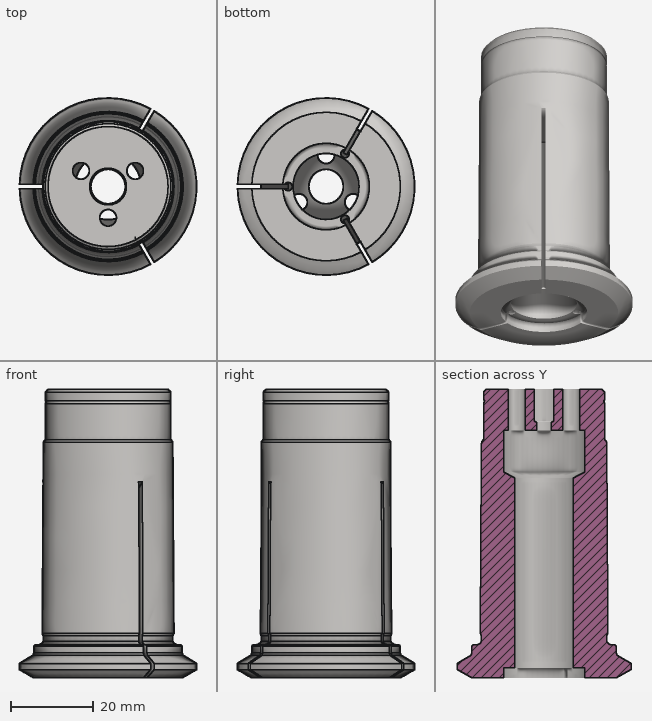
import cadquery as cq
import math

LENGTH = 70.0
RIM_LOW = 2.02
RIM_HIGH = 3.45
COLLAR_LOW = 6.1
COLLAR_TOP = 8.05
NECK_TOP = 10.25
BODY_LOW = 10.85
BODY_TOP = 57.15
SHOULDER_TOP = 57.8
GROOVE_LOW = 66.5
GROOVE_TOP = 67.2

FLANGE_DIA = 43.0
COLLAR_DIA = 36.0
NECK_DIA = 31.5
BODY_LOW_DIA = 32.0
BODY_TOP_DIA = 31.44
HEAD_DIA = 30.5

FLANGE_CONE_ANGLE = 30.0
RIM_BEVEL = 0.2
COLLAR_FOOT = 0.6
COLLAR_FOOT_RUN = 0.2
COLLAR_CHAMFER = 0.35
NECK_FILLET_RUN = 1.2
NECK_FILLET_RISE = 0.8
GROOVE_DEPTH = 0.25
HEAD_CHAMFER = 0.7

MOUTH_DIA = 21.0
MOUTH_DEPTH = 2.35
CLAMP_DIA = 16.0
CLAMP_DEPTH = 48.5
CHAMBER_DIA = 21.0
CHAMBER_CONE_ANGLE = 30.0
END_WALL = 10.0
CENTRE_DIA = 8.92
CENTRE_LOW_DIA = 8.3
CENTRE_LOW_LENGTH = 2.0

COOLANT_COUNT = 3
COOLANT_DIA = 4.0
COOLANT_CIRCLE_DIA = 15.2
COOLANT_FIRST_ANGLE = 30.0

SLIT_COUNT = 3
SLIT_FIRST_ANGLE = 60.0
SLIT_WIDTH = 1.0
SLIT_TOP = 47.6
SLIT_FLOOR_TOP = 41.8
RELIEF_DIA = 2.0
RELIEF_CENTRE_RADIUS = 9.2


def outer_body():
    """Turned outside of the sleeve."""
    cone_slope = math.tan(math.radians(FLANGE_CONE_ANGLE))
    flange = FLANGE_DIA / 2
    collar = COLLAR_DIA / 2
    neck = NECK_DIA / 2
    head = HEAD_DIA / 2
    base = flange - RIM_LOW / cone_slope
    rim_top = RIM_HIGH + RIM_BEVEL
    fillet_end = neck + NECK_FILLET_RUN
    fillet_radius = (NECK_FILLET_RUN**2 + NECK_FILLET_RISE**2) / (2 * NECK_FILLET_RISE)
    half_sweep = math.asin(NECK_FILLET_RUN / fillet_radius) / 2
    fillet_middle = (
        fillet_end - fillet_radius * math.sin(half_sweep),
        COLLAR_TOP + fillet_radius * (1 - math.cos(half_sweep)),
    )
    profile = (
        cq.Workplane("XZ")
        .lineTo(base, 0)
        .lineTo(flange, RIM_LOW)
        .lineTo(flange, RIM_HIGH)
        .lineTo(flange - RIM_BEVEL, rim_top)
        .lineTo(collar + COLLAR_FOOT_RUN, COLLAR_LOW - COLLAR_FOOT)
        .lineTo(collar, COLLAR_LOW)
        .lineTo(collar, COLLAR_TOP - COLLAR_CHAMFER)
        .lineTo(collar - COLLAR_CHAMFER, COLLAR_TOP)
        .lineTo(fillet_end, COLLAR_TOP)
        .threePointArc(fillet_middle, (neck, COLLAR_TOP + NECK_FILLET_RISE))
        .lineTo(neck, NECK_TOP)
        .lineTo(BODY_LOW_DIA / 2, BODY_LOW)
        .lineTo(BODY_TOP_DIA / 2, BODY_TOP)
        .lineTo(head, SHOULDER_TOP)
        .lineTo(head, GROOVE_LOW)
        .lineTo(head - GROOVE_DEPTH, GROOVE_TOP)
        .lineTo(head, GROOVE_TOP)
        .lineTo(head, LENGTH - HEAD_CHAMFER)
        .lineTo(head - HEAD_CHAMFER, LENGTH)
        .lineTo(0, LENGTH)
        .close()
    )
    return profile.revolve(360, (0, 0), (0, 1))


def inner_space():
    """Turned inside: mouth, clamping bore, chamber and centre hole."""
    clamp = CLAMP_DIA / 2
    chamber = CHAMBER_DIA / 2
    mouth = MOUTH_DIA / 2
    centre = CENTRE_DIA / 2
    centre_low = CENTRE_LOW_DIA / 2
    wall_low = LENGTH - END_WALL
    neck_top = wall_low + CENTRE_LOW_LENGTH
    floor_slope = math.tan(math.radians(CHAMBER_CONE_ANGLE))
    chamber_floor = CLAMP_DEPTH + (chamber - clamp) * floor_slope
    profile = (
        cq.Workplane("XZ")
        .lineTo(mouth, 0)
        .lineTo(mouth, MOUTH_DEPTH)
        .lineTo(clamp, MOUTH_DEPTH)
        .lineTo(clamp, CLAMP_DEPTH)
        .lineTo(chamber, chamber_floor)
        .lineTo(chamber, wall_low)
        .lineTo(centre_low, wall_low)
        .lineTo(centre_low, neck_top)
        .lineTo(centre, neck_top + centre - centre_low)
        .lineTo(centre, LENGTH)
        .lineTo(0, LENGTH)
        .close()
    )
    return profile.revolve(360, (0, 0), (0, 1))


def coolant_holes():
    """Holes around the centre hole, from the end face into the chamber."""
    return (
        cq.Workplane("XY", origin=(0, 0, LENGTH - END_WALL))
        .polarArray(COOLANT_CIRCLE_DIA / 2, COOLANT_FIRST_ANGLE, 360, COOLANT_COUNT)
        .circle(COOLANT_DIA / 2)
        .extrude(END_WALL)
    )


def slit(angle):
    """Radial slit with a sloping upper end and a round channel at its inner end."""
    body_taper = (BODY_LOW_DIA - BODY_TOP_DIA) / (BODY_TOP - BODY_LOW) / 2
    surface = BODY_LOW_DIA / 2 - body_taper * (SLIT_TOP - BODY_LOW)
    outside = FLANGE_DIA
    blade = (
        cq.Workplane("XZ")
        .moveTo(RELIEF_CENTRE_RADIUS, 0)
        .lineTo(outside, 0)
        .lineTo(outside, SLIT_TOP)
        .lineTo(surface, SLIT_TOP)
        .lineTo(RELIEF_CENTRE_RADIUS, SLIT_FLOOR_TOP)
        .close()
        .extrude(SLIT_WIDTH / 2, both=True)
    )
    channel = (
        cq.Workplane("XY")
        .center(RELIEF_CENTRE_RADIUS, 0)
        .circle(RELIEF_DIA / 2)
        .extrude(SLIT_FLOOR_TOP)
    )
    return blade.union(channel).rotate((0, 0, 0), (0, 0, 1), angle)


result = outer_body().cut(inner_space()).cut(coolant_holes())
for index in range(SLIT_COUNT):
    result = result.cut(slit(SLIT_FIRST_ANGLE + index * 360 / SLIT_COUNT))